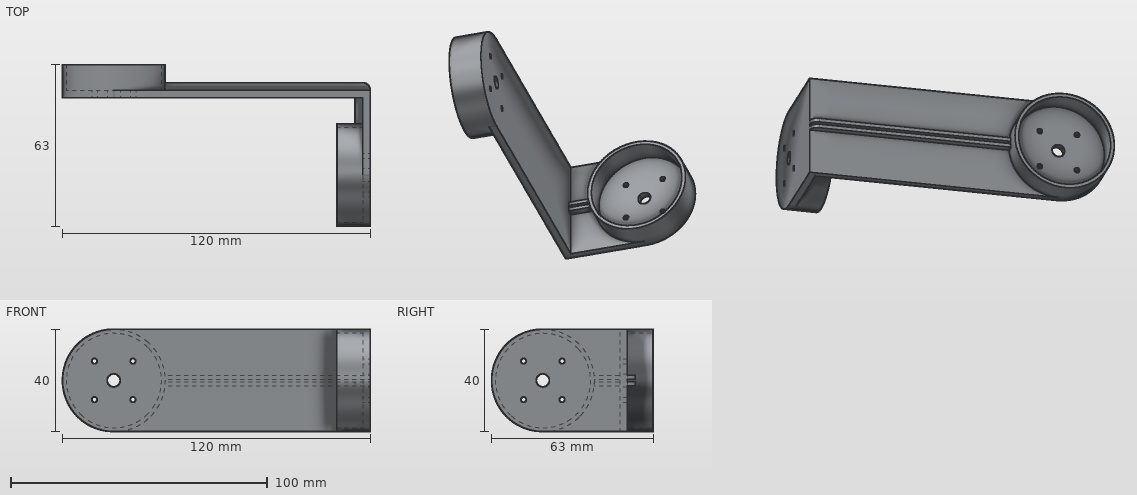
import cadquery as cq

PLATE_THICKNESS = 3.0
CUP_RADIUS = 20.0
CUP_WALL = 1.5
CUP_HEIGHT = 13.0
LONG_ARM_CENTRE = 100.0
SHORT_ARM_CENTRE = 33.0

SHAFT_HOLE_DIAMETER = 5.0
SCREW_HOLE_DIAMETER = 2.0
SCREW_SPACING = 15.0

RAIL_HEIGHT = 3.0
RAIL_WIDTH = 1.5
RAIL_GAP = 1.0
RAIL_END_RADIUS = RAIL_HEIGHT

SHORT_CUP_Y = PLATE_THICKNESS - SHORT_ARM_CENTRE

LONG_ARM = cq.Plane(origin=(0, 0, 0), xDir=(1, 0, 0), normal=(0, 1, 0))
SHORT_ARM = cq.Plane(origin=(LONG_ARM_CENTRE, SHORT_CUP_Y, 0), xDir=(0, 1, 0), normal=(-1, 0, 0))


def arm_body(plane, length):
    """Flat plate running to the corner, with a solid round boss at its free end."""
    plate = (
        cq.Workplane(plane)
        .center(length / 2, 0)
        .rect(length, 2 * CUP_RADIUS)
        .extrude(PLATE_THICKNESS)
    )
    boss = cq.Workplane(plane).circle(CUP_RADIUS).extrude(CUP_HEIGHT)
    return plate.union(boss)


def rails(plane, start, end):
    """Pair of parallel rails, rooted through the plate, between two distances from the cup axis."""
    offset = (RAIL_GAP + RAIL_WIDTH) / 2
    return (
        cq.Workplane(plane)
        .pushPoints([((start + end) / 2, side * offset) for side in (-1, 1)])
        .rect(end - start, RAIL_WIDTH)
        .extrude(PLATE_THICKNESS + RAIL_HEIGHT)
    )


def cup_pocket(plane):
    """Round pocket that hollows the boss down to the plate."""
    return (
        cq.Workplane(plane)
        .workplane(offset=PLATE_THICKNESS)
        .circle(CUP_RADIUS - CUP_WALL)
        .extrude(CUP_HEIGHT - PLATE_THICKNESS)
    )


def mounting_holes(plane):
    """Shaft hole and four screw holes through the cup floor."""
    shaft = cq.Workplane(plane).circle(SHAFT_HOLE_DIAMETER / 2).extrude(PLATE_THICKNESS)
    screws = (
        cq.Workplane(plane)
        .rect(SCREW_SPACING, SCREW_SPACING, forConstruction=True)
        .vertices()
        .circle(SCREW_HOLE_DIAMETER / 2)
        .extrude(PLATE_THICKNESS)
    )
    return shaft.union(screws)


RAIL_START = CUP_RADIUS - CUP_WALL
long_rails = rails(LONG_ARM, RAIL_START, LONG_ARM_CENTRE)
long_rails = long_rails.edges("|Z and >X and >Y").fillet(RAIL_END_RADIUS)
short_rails = rails(SHORT_ARM, RAIL_START, SHORT_ARM_CENTRE - PLATE_THICKNESS)

result = (
    arm_body(LONG_ARM, LONG_ARM_CENTRE)
    .union(arm_body(SHORT_ARM, SHORT_ARM_CENTRE))
    .union(long_rails)
    .union(short_rails)
)
for arm in (LONG_ARM, SHORT_ARM):
    result = result.cut(cup_pocket(arm)).cut(mounting_holes(arm))